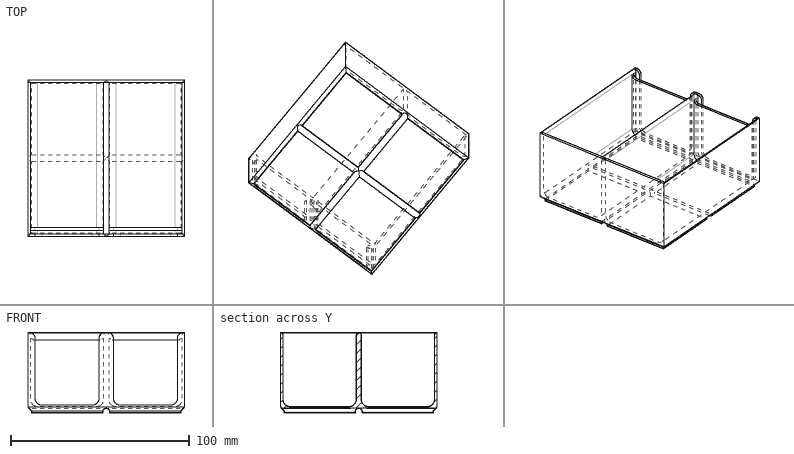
import cadquery as cq

side = 88.0
height = 45.0
half = side / 2

wall = 1.5
floor_top = 3.5
floor_radius = 4.0
compartment_centers = (-half / 2, half / 2)
compartment_width = half - 2 * wall

slot_gap = 2.0
panel_front = -half + wall + slot_gap
panel_back = panel_front + wall
panel_top = 40.8
panel_corner_radius = 2.55
window_width = 36.0
window_bottom = 4.3
window_bottom_radius = 4.0
window_lip_radius = 3.0

base_inset = 2.0
base_step = 1.1
groove_radius = 1.9
groove_center_height = 0.5


def opening_profile(width, bottom, bottom_radius, lip_radius):
    """XZ outline of an open-topped channel with round floor corners and rounded lips."""
    edge = width / 2
    lip_start = height - lip_radius
    return (
        cq.Workplane("XZ")
        .moveTo(-edge + bottom_radius, bottom)
        .lineTo(edge - bottom_radius, bottom)
        .radiusArc((edge, bottom + bottom_radius), -bottom_radius)
        .lineTo(edge, lip_start)
        .radiusArc((edge + lip_radius, height), lip_radius)
        .lineTo(-edge - lip_radius, height)
        .radiusArc((-edge, lip_start), lip_radius)
        .lineTo(-edge, bottom + bottom_radius)
        .radiusArc((-edge + bottom_radius, bottom), -bottom_radius)
        .close()
    )


def channel(sizes, center_x, front, back):
    """Opening with the given outline sizes, running between two Y positions."""
    return opening_profile(*sizes).extrude(front - back).translate((center_x, front, 0))


def make_base():
    """Straight foot, 45 degree flare and the full-width block above it."""
    foot_side = side - 2 * base_inset
    foot = cq.Workplane("XY").box(foot_side, foot_side, base_step + base_inset, centered=(True, True, False))
    block = (
        cq.Workplane("XY", origin=(0, 0, base_step))
        .box(side, side, height - base_step, centered=(True, True, False))
        .faces("<Z")
        .chamfer(base_inset)
    )
    return foot.union(block)


def make_groove(plane):
    """Round-topped groove that runs the whole length of the underside."""
    arch = cq.Workplane(plane).center(0, groove_center_height).circle(groove_radius).extrude(half, both=True)
    mouth = cq.Workplane(plane).rect(2 * groove_radius, 2 * groove_center_height).extrude(half, both=True)
    return arch.union(mouth)


def make_compartment(center_x):
    """Label slot, shallow channel over the inner panel and the main cavity, front to back."""
    deep = (compartment_width, floor_top, floor_radius, wall)
    shallow = (compartment_width, panel_top, panel_corner_radius, wall)
    slot = channel(deep, center_x, -half + wall, panel_front)
    over_panel = channel(shallow, center_x, panel_front, panel_back)
    cavity = channel(deep, center_x, panel_back, half - wall)
    return slot.union(over_panel).union(cavity)


def make_window(center_x):
    window = (window_width, window_bottom, window_bottom_radius, window_lip_radius)
    return channel(window, center_x, -half, -half + wall)


result = make_base()
for groove_plane in ("XZ", "YZ"):
    result = result.cut(make_groove(groove_plane))
for compartment_x in compartment_centers:
    result = result.cut(make_compartment(compartment_x))
    result = result.cut(make_window(compartment_x))